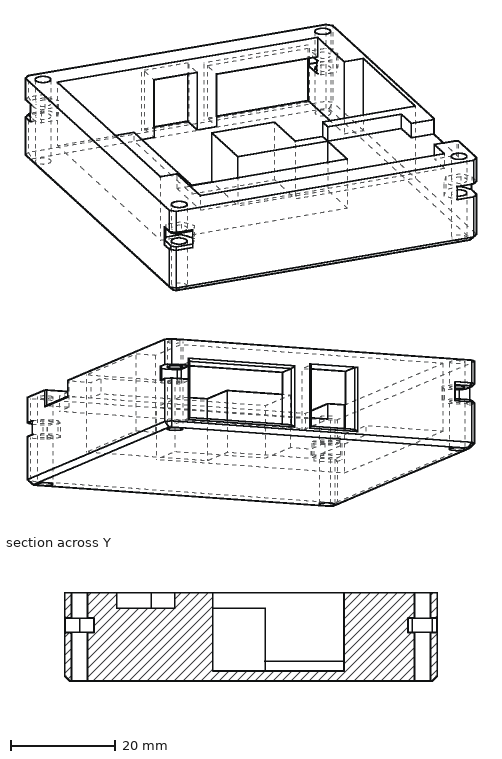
import cadquery as cq
import math

length = 71.5
width = 64.2
height = 17.0
edge_chamfer = 1.0

half_length = length / 2
half_width = width / 2

hole_diameter = 3.0
hole_inset = 2.85
nut_across_flats = 5.5
nut_slot_bottom = 9.4
nut_slot_top = 12.1
slot_flare = 0.5

shelf_level = 14.0
middle_level = 3.8
deep_level = 2.0

inner_left = -30.6
inner_back = 27.2

deep_right = 7.3
deep_front = -11.2
deep_back_step = 6.1
deep_front_right = -2.7
niche_left = -17.8
niche_back = 31.2

middle_right = 19.15
middle_front = -27.25
middle_back = 11.8
block_right = 9.8
block_front = -7.0

shelf_right = 30.6
shelf_front = -23.8
outlet_left = 14.65
outlet_right = 25.75
outlet_bevel = 0.3

window_bevel = 0.5
large_window_front = deep_back_step
large_window_back = inner_back
large_window_top = 12.95
small_window_front = -7.0
small_window_back = 2.0


def block(x_min, x_max, y_min, y_max, z_min, z_max):
    """Axis-aligned box given by its limits."""
    size = (x_max - x_min, y_max - y_min, z_max - z_min)
    return cq.Workplane("XY").box(*size, centered=False).translate((x_min, y_min, z_min))


def corner_cut_block(z_min, z_max):
    """Block with the full outline of the part and its four upright edges chamfered."""
    body = block(-half_length, half_length, -half_width, half_width, z_min, z_max)
    return body.edges("|Z").chamfer(edge_chamfer)


def deep_compartment():
    main = block(inner_left, deep_front_right, deep_front, inner_back, deep_level, height)
    back = block(deep_front_right, deep_right, deep_back_step, inner_back, deep_level, height)
    niche = block(niche_left, deep_right, deep_back_step, niche_back, deep_level, height)
    return main.union(back).union(niche)


def middle_compartment():
    pocket = block(inner_left, middle_right, middle_front, middle_back, middle_level, height)
    standing_block = block(deep_front_right, block_right, block_front, middle_back, 0, shelf_level)
    return pocket.cut(standing_block)


def flared_mouth(half_extent, side_min, side_max, z_min, z_max, bevel, top_bevel):
    """Widening mouth of an opening in a +X face at half_extent, spanning side_min to side_max in Y."""
    inside = half_extent - bevel
    plan = (
        cq.Workplane("XY")
        .moveTo(inside, side_min)
        .lineTo(half_extent, side_min - bevel)
        .lineTo(half_extent, side_max + bevel)
        .lineTo(inside, side_max)
        .close()
        .extrude(height)
    )
    elevation = (
        cq.Workplane("XZ")
        .moveTo(inside, z_min)
        .lineTo(half_extent, z_min - bevel)
        .lineTo(half_extent, z_max + top_bevel)
        .lineTo(inside, z_max)
        .close()
        .extrude(half_extent, both=True)
    )
    return plan.intersect(elevation)


def shelf():
    """Shallow shelf with an outlet through the back wall, bevelled at the back face."""
    floor = block(block_right, shelf_right, shelf_front, inner_back, shelf_level, height)
    outlet = block(outlet_left, outlet_right, inner_back, half_width, shelf_level, height)
    mouth = flared_mouth(half_width, -outlet_right, -outlet_left, shelf_level, height, outlet_bevel, 0)
    return floor.union(outlet).union(mouth.rotate((0, 0, 0), (0, 0, 1), 90))


def window(y_min, y_max, z_max, top_bevel):
    """Opening through the -X wall, flared towards the outside."""
    opening = block(-half_length, inner_left, y_min, y_max, deep_level, z_max)
    mouth = flared_mouth(half_length, y_min, y_max, deep_level, z_max, window_bevel, top_bevel)
    return opening.union(mouth.mirror("YZ"))


def nut_slot(x, y, z_min, z_max):
    """Nut-shaped prism with flats facing +X and -X, opened to the corner and across its outer flat."""
    across_corners = nut_across_flats / math.cos(math.pi / 6)
    half_flat = across_corners / 4
    prism = cq.Workplane("XY").polygon(6, across_corners).extrude(z_max - z_min)
    prism = prism.rotate((0, 0, 0), (0, 0, 1), 30).translate((x, y, z_min))
    corner_opening = (
        cq.Workplane("XY", origin=(x, y - math.copysign(half_flat, y), z_min))
        .rect(math.copysign(hole_inset, x), math.copysign(hole_inset + half_flat, y), centered=False)
        .extrude(z_max - z_min)
    )
    return prism.union(corner_opening)


def flared_nut_slot(x, y):
    """Nut slot whose mouth widens upwards and downwards at the outer faces."""
    above = corner_cut_block(nut_slot_top, height).faces("<Z").edges().chamfer(slot_flare)
    below = corner_cut_block(0, nut_slot_bottom).faces(">Z").edges().chamfer(slot_flare)
    return nut_slot(x, y, 0, height).cut(above).cut(below)


result = corner_cut_block(0, height).faces("<Z").edges().chamfer(edge_chamfer)
result = result.cut(deep_compartment()).cut(middle_compartment()).cut(shelf())

result = result.cut(window(large_window_front, large_window_back, large_window_top, window_bevel))
result = result.cut(window(small_window_front, small_window_back, shelf_level, 0))

hole_x = half_length - hole_inset
hole_y = half_width - hole_inset
for x in (-hole_x, hole_x):
    for y in (-hole_y, hole_y):
        hole = cq.Workplane("XY").circle(hole_diameter / 2).extrude(height).translate((x, y, 0))
        result = result.cut(hole)
    result = result.cut(flared_nut_slot(x, -hole_y))
    result = result.cut(nut_slot(x, hole_y, nut_slot_bottom, nut_slot_top))